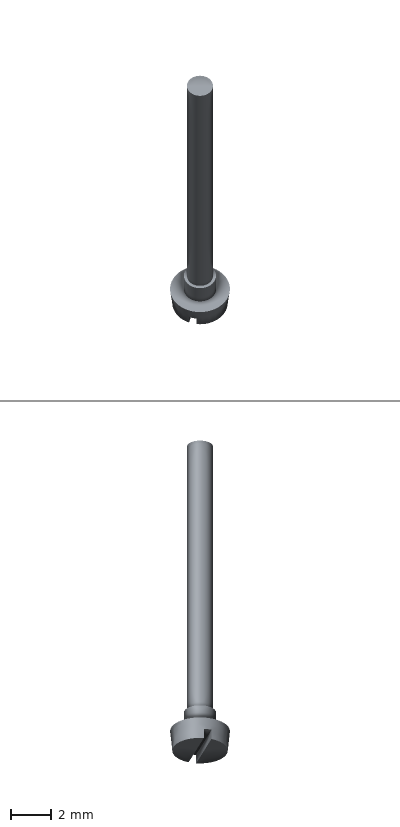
import cadquery as cq

total_length = 17.1
head_height = 1.1
collar_height = 1.05
shank_length = total_length - head_height - collar_height

head_top_diameter = 3.0
head_bottom_diameter = 2.77
collar_diameter = 1.6
shank_diameter = 1.3

slot_width = 0.4
slot_depth = 0.5


def tapered_head():
    """Head that widens upward from its slotted underside at Z = 0."""
    return (
        cq.Workplane("XY")
        .circle(head_bottom_diameter / 2)
        .workplane(offset=head_height)
        .circle(head_top_diameter / 2)
        .loft(ruled=True)
    )


def cylinder_on_top(body, diameter, height):
    """Add a coaxial cylinder to the highest face of the body."""
    return body.faces(">Z").workplane().circle(diameter / 2).extrude(height)


def driver_slot():
    """Cutter that passes right across the head."""
    return cq.Workplane("XY").box(
        slot_width, head_top_diameter, slot_depth, centered=(True, True, False)
    )


screw = tapered_head()
screw = cylinder_on_top(screw, collar_diameter, collar_height)
screw = cylinder_on_top(screw, shank_diameter, shank_length)
result = screw.cut(driver_slot())